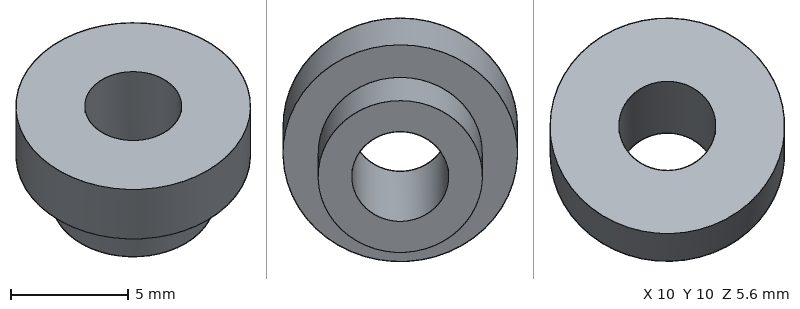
import cadquery as cq

flange_diameter = 10.0
flange_height = 3.0
shank_diameter = 7.0
shank_height = 2.6
bore_diameter = 4.13

shank = cq.Workplane("XY").circle(shank_diameter / 2).extrude(shank_height)

flange = (
    cq.Workplane("XY")
    .workplane(offset=shank_height)
    .circle(flange_diameter / 2)
    .extrude(flange_height)
)

bore = cq.Workplane("XY").circle(bore_diameter / 2).extrude(shank_height + flange_height)

result = shank.union(flange).cut(bore)